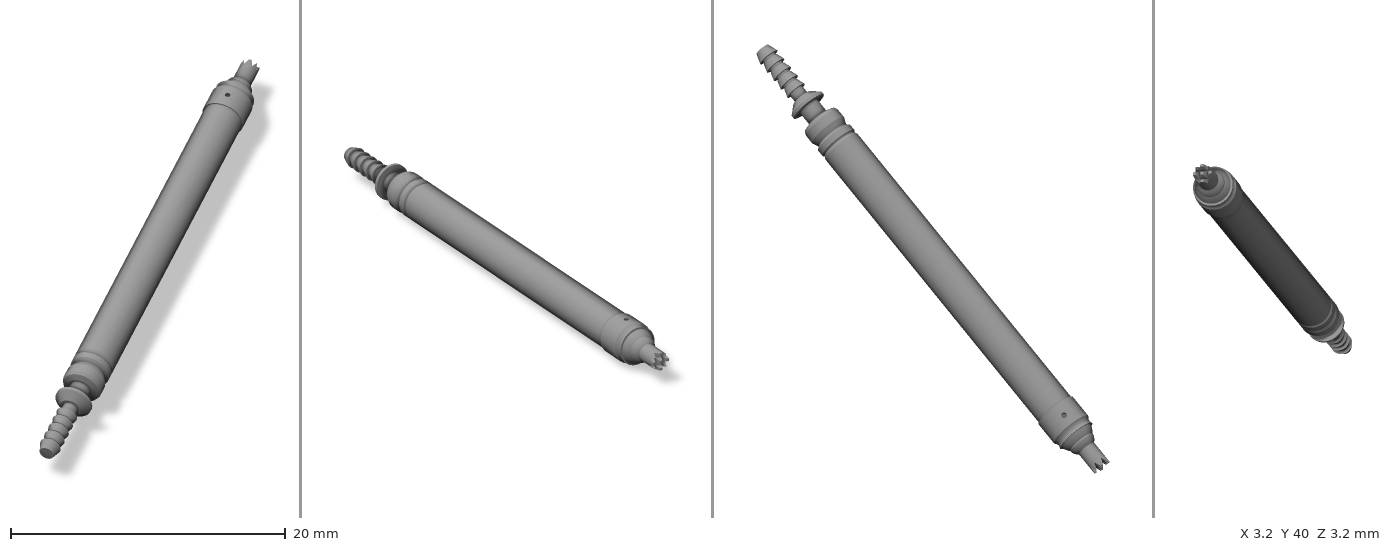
import cadquery as cq
import math

LENGTH = 40.0

BARB_COUNT = 5
BARB_PITCH = 0.8
BARB_FIRST_SHOULDER = 0.76
BARB_CONE_LENGTH = 0.58
BARB_RADIUS = 0.8
BARB_SMALL_RADIUS = 0.62
HOSE_END_RADIUS = 0.55
NECK_RADIUS = 0.57

FLANGE_START = 4.66
FLANGE_RIM_START = 5.22
FLANGE_END = 5.46
FLANGE_CONE_RADIUS = 0.8
FLANGE_RADIUS = 1.4
STEM_RADIUS = 0.8

BARREL_START = 6.6
BARREL_RADIUS = 1.5
REAR_FACE_RADIUS = 0.95
REAR_BEVEL_RADIUS = 1.4
REAR_BEVEL_MIDDLE = 6.77
REAR_BEVEL_END = 7.01
WIDE_GROOVE_START = 7.74
WIDE_GROOVE_BOTTOM = 8.24
WIDE_GROOVE_END = 8.47
WIDE_GROOVE_DEPTH = 0.22
NARROW_GROOVE_START = 8.95
NARROW_GROOVE_BOTTOM = 9.07
NARROW_GROOVE_END = 9.31
NARROW_GROOVE_DEPTH = 0.12
GRIP_JOINT = 24.55

COLLAR_START = 34.55
COLLAR_END = 36.36
COLLAR_RADIUS = 1.6
COLLAR_HOLE_Y = 35.53
COLLAR_HOLE_RADIUS = 0.2
COLLAR_HOLE_DEPTH = 0.3

RING_END = 36.97
RING_RADIUS = 1.5
RING_WAIST = 36.6
RING_WAIST_RADIUS = 1.46
LOWER_DOME_RADIUS = 1.35
BAND_START = 37.56
BAND_END = 37.68
BAND_RADIUS = 1.03
NOSE_END = 38.17
DOME_BULGE = 0.05

TIP_RADIUS = 0.7
GROOVE_OFFSET = 0.3
GROOVE_DEPTH = 0.5
GROOVE_HALF_WIDTH = 0.19


def bulged_middle(start, end, bulge):
    """Point beside the middle of a (radius, y) line, pushed outward by the bulge."""
    length = math.dist(start, end)
    out_radius = (end[1] - start[1]) / length
    out_y = (start[0] - end[0]) / length
    return (
        (start[0] + end[0]) / 2 + bulge * out_radius,
        (start[1] + end[1]) / 2 + bulge * out_y,
    )


def hose_end_points():
    """(radius, y) points of the barbs, from the end face up to the flange."""
    points = [(0, 0), (HOSE_END_RADIUS, 0)]
    for index in range(BARB_COUNT):
        shoulder = BARB_FIRST_SHOULDER + index * BARB_PITCH
        if index > 0:
            cone_start = shoulder - BARB_CONE_LENGTH
            points += [(NECK_RADIUS, cone_start), (BARB_SMALL_RADIUS, cone_start)]
        points += [(BARB_RADIUS, shoulder), (NECK_RADIUS, shoulder)]
    points.append((NECK_RADIUS, FLANGE_START))
    return points


def flange_points():
    """(radius, y) points of the stop flange and the stem up to the barrel."""
    return [
        (FLANGE_CONE_RADIUS, FLANGE_START),
        (FLANGE_RADIUS, FLANGE_RIM_START),
        (FLANGE_RADIUS, FLANGE_END),
        (STEM_RADIUS, FLANGE_END),
        (STEM_RADIUS, BARREL_START),
    ]


def barrel_points():
    """(radius, y) points of the barrel with its rear bevels and two grooves."""
    return [
        (REAR_FACE_RADIUS, BARREL_START),
        (REAR_BEVEL_RADIUS, REAR_BEVEL_MIDDLE),
        (BARREL_RADIUS, REAR_BEVEL_END),
        (BARREL_RADIUS, WIDE_GROOVE_START),
        (BARREL_RADIUS - WIDE_GROOVE_DEPTH, WIDE_GROOVE_BOTTOM),
        (BARREL_RADIUS, WIDE_GROOVE_END),
        (BARREL_RADIUS, NARROW_GROOVE_START),
        (BARREL_RADIUS - NARROW_GROOVE_DEPTH, NARROW_GROOVE_BOTTOM),
        (BARREL_RADIUS, NARROW_GROOVE_END),
        (BARREL_RADIUS, GRIP_JOINT),
        (BARREL_RADIUS, COLLAR_START),
    ]


def collar_points():
    """(radius, y) points of the collar side."""
    return [(COLLAR_RADIUS, COLLAR_START), (COLLAR_RADIUS, COLLAR_END)]


def turned_body():
    """The whole outer shape, revolved about Y."""
    lower_dome = [(LOWER_DOME_RADIUS, RING_END), (BAND_RADIUS, BAND_START)]
    upper_dome = [(BAND_RADIUS, BAND_END), (TIP_RADIUS, NOSE_END)]
    profile = (
        cq.Workplane("XY")
        .polyline(hose_end_points() + flange_points() + barrel_points() + collar_points())
        .threePointArc((RING_WAIST_RADIUS, RING_WAIST), (RING_RADIUS, RING_END))
        .lineTo(*lower_dome[0])
        .threePointArc(bulged_middle(*lower_dome, DOME_BULGE), lower_dome[1])
        .lineTo(*upper_dome[0])
        .threePointArc(bulged_middle(*upper_dome, DOME_BULGE), upper_dome[1])
        .lineTo(TIP_RADIUS, LENGTH)
        .lineTo(0, LENGTH)
        .close()
    )
    return profile.revolve(360, (0, 0, 0), (0, 1, 0), clean=False)


def serration_groove(offset):
    """V groove across the tip end, parallel to Z and at the given X."""
    return (
        cq.Workplane("XY", origin=(offset, LENGTH, -TIP_RADIUS))
        .moveTo(-GROOVE_HALF_WIDTH, 0)
        .lineTo(0, -GROOVE_DEPTH)
        .lineTo(GROOVE_HALF_WIDTH, 0)
        .close()
        .extrude(2 * TIP_RADIUS)
    )


def collar_hole():
    """Blind round hole entering the collar from +Z."""
    bottom = COLLAR_RADIUS - COLLAR_HOLE_DEPTH
    return (
        cq.Workplane("XY", origin=(0, COLLAR_HOLE_Y, bottom))
        .circle(COLLAR_HOLE_RADIUS)
        .extrude(COLLAR_RADIUS)
    )


result = turned_body().cut(collar_hole(), clean=False)
for groove_x in (-GROOVE_OFFSET, GROOVE_OFFSET):
    groove = serration_groove(groove_x)
    crossing_groove = groove.rotate((0, 0, 0), (0, 1, 0), 90)
    result = result.cut(groove, clean=False).cut(crossing_groove, clean=False)